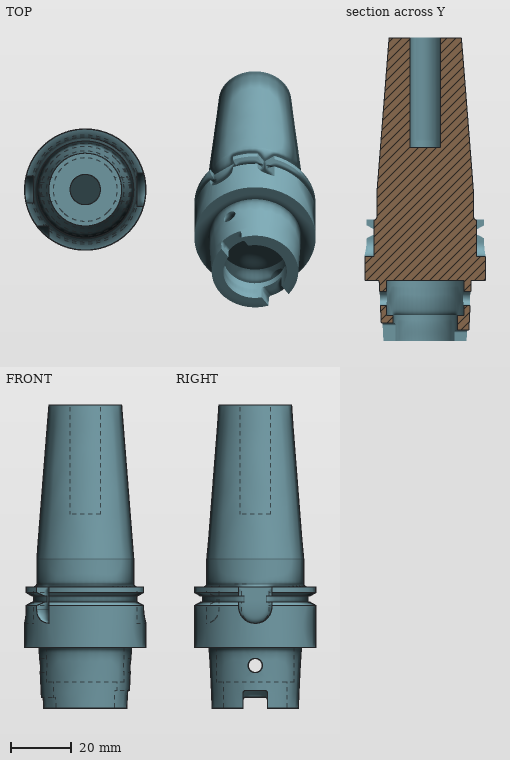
import cadquery as cq
import math

cutter_reach = 10.0

flange_radius = 20.0
flange_height = 20.0
groove_radius = 17.4
groove_middle = 16.0
groove_floor_width = 2.0
groove_step_radius = 18.0
groove_flank_angle = 30.0

nose_tip_height = 80.0
nose_tip_radius = 12.0
collar_radius = 16.0
nose_half_angle = 4.5
collar_fillet = 1.0
tool_bore_radius = 5.0
tool_bore_depth = 36.0

shank_length = 20.0
shank_top_radius = 15.27
shank_taper_ratio = 20.0
mouth_radius = 10.5
chamber_radius = 12.75
chamber_bottom = -11.4
chamber_top = 0.0
shank_hole_radius = 2.3
shank_hole_height = -5.9

end_slot_width = 8.0
end_slot_corner = 0.8
near_end_slot_depth = 3.6
far_end_slot_depth = 5.9

keyway_bottom = 8.0
keyway_floor_offset = 17.0
near_keyway_width = 9.0
far_keyway_width = 11.0
notch_offset = 12.0
notch_width = 9.0


def make_body():
    """Outer shape of nose, flange and shank as one turned solid."""
    nose_taper_length = (collar_radius - nose_tip_radius) / math.tan(math.radians(nose_half_angle))
    collar_top = nose_tip_height - nose_taper_length
    shank_end_radius = shank_top_radius - shank_length / shank_taper_ratio
    groove_floor_bottom = groove_middle - groove_floor_width / 2
    groove_floor_top = groove_middle + groove_floor_width / 2
    groove_flank_rise = (flange_radius - groove_step_radius) * math.tan(math.radians(groove_flank_angle))
    fillet_sag = collar_fillet * (1 - math.sqrt(0.5))
    profile = (
        cq.Workplane("XZ")
        .moveTo(0, -shank_length)
        .lineTo(shank_end_radius, -shank_length)
        .lineTo(shank_top_radius, 0)
        .lineTo(flange_radius, 0)
        .lineTo(flange_radius, groove_floor_bottom - groove_flank_rise)
        .lineTo(groove_step_radius, groove_floor_bottom)
        .lineTo(groove_radius, groove_floor_bottom)
        .lineTo(groove_radius, groove_floor_top)
        .lineTo(groove_step_radius, groove_floor_top)
        .lineTo(flange_radius, groove_floor_top + groove_flank_rise)
        .lineTo(flange_radius, flange_height)
        .lineTo(collar_radius + collar_fillet, flange_height)
        .threePointArc(
            (collar_radius + fillet_sag, flange_height + fillet_sag),
            (collar_radius, flange_height + collar_fillet),
        )
        .lineTo(collar_radius, collar_top)
        .lineTo(nose_tip_radius, nose_tip_height)
        .lineTo(0, nose_tip_height)
        .close()
    )
    return profile.revolve(360, (0, 0, 0), (0, 1, 0))


def make_cylinder(radius, bottom, top):
    """Cylinder on the part axis between two heights."""
    return cq.Workplane("XY").workplane(offset=bottom).circle(radius).extrude(top - bottom)


def make_shank_hole():
    """Hole along X through both walls of the shank."""
    return (
        cq.Workplane("YZ")
        .center(0, shank_hole_height)
        .circle(shank_hole_radius)
        .extrude(flange_radius, both=True)
    )


def make_end_slot(depth, side):
    """Slot in the shank end, from the axis outward to the -X (side = -1) or +X side."""
    roof = depth - shank_length
    height = depth + cutter_reach
    slot = cq.Workplane("XY").box(flange_radius, end_slot_width, height)
    slot = slot.edges("|X and >Z").fillet(end_slot_corner)
    return slot.translate((side * flange_radius / 2, 0, roof - height / 2))


def make_keyway(width, floor_offset, center_y, side):
    """Upright slot with a round lower end, cut inward from the rim to a flat floor."""
    radius = width / 2
    arc_height = keyway_bottom + radius
    profile = (
        cq.Workplane("YZ")
        .workplane(offset=side * floor_offset)
        .moveTo(center_y - radius, flange_height)
        .lineTo(center_y - radius, arc_height)
        .threePointArc((center_y, keyway_bottom), (center_y + radius, arc_height))
        .lineTo(center_y + radius, flange_height)
        .close()
    )
    return profile.extrude(side * cutter_reach)


def make_shank_hollow():
    """Round mouth at the shank end and the wider chamber behind it."""
    mouth = make_cylinder(mouth_radius, -shank_length, chamber_top)
    return mouth.union(make_cylinder(chamber_radius, chamber_bottom, chamber_top))


notch_middle = -notch_offset - notch_width / 2

result = (
    make_body()
    .cut(make_cylinder(tool_bore_radius, nose_tip_height - tool_bore_depth, nose_tip_height))
    .cut(make_shank_hollow())
    .cut(make_shank_hole())
    .cut(make_end_slot(near_end_slot_depth, -1))
    .cut(make_end_slot(far_end_slot_depth, 1))
    .cut(make_keyway(near_keyway_width, keyway_floor_offset, 0, -1))
    .cut(make_keyway(far_keyway_width, keyway_floor_offset, 0, 1))
    .cut(make_keyway(notch_width, notch_offset, notch_middle, -1))
)